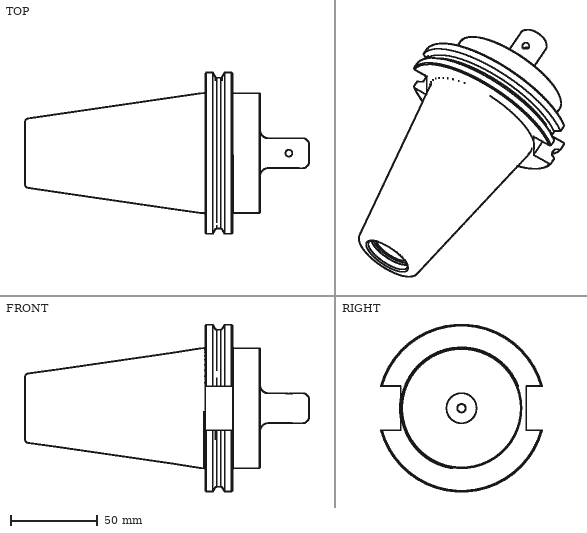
import cadquery as cq
import math

total_length = 165.1
gauge_x = 102.4
flange_start_x = 104.9
flange_end_x = 120.7
boss_end_x = 136.7

gauge_radius = 69.8 / 2
taper_ratio = 7 / 24
small_end_radius = gauge_radius - gauge_x * taper_ratio / 2
small_end_fillet = 2.1

flange_radius = 97.3 / 2
flange_edge_chamfer = 0.7
groove_floor_radius = 45.7
groove_floor_width = 3.5
groove_center_x = 112.6
groove_wall_angle = 30.0
groove_floor_fillet = 1.0
neck_fillet = 1.0
boss_root_fillet = 0.5
boss_edge_chamfer = 0.5

slot_width = 25.6
slot_floor_plus_y = 37.6
slot_floor_minus_y = 35.3

pin_radius = 17.5 / 2
pin_root_fillet = 4.6
pin_tip_chamfer = 2.3
pin_tip_blend = 2.0

thread_radius = 26.3 / 2
thread_relief_radius = 26.7 / 2
thread_mouth_radius = 28.7 / 2
thread_relief_depth = 4.3
thread_depth = 5.6
drill_radius = 22.0 / 2
drill_depth = 44.5
drill_tip_angle = 118.0
feed_radius = 8.0 / 2
feed_depth = 74.3
through_radius = 4.8 / 2
cross_hole_radius = 4.0 / 2
cross_hole_x = 153.4


def cylinder(radius, start_x, end_x):
    """Cylinder on the tool axis between two X positions."""
    return cq.Workplane("YZ", origin=(start_x, 0, 0)).circle(radius).extrude(end_x - start_x)


def revolve(points):
    """Solid of revolution about X from (x, radius) points."""
    return cq.Workplane("XY").polyline(points).close().revolve(360, (0, 0, 0), (1, 0, 0))


def make_shank():
    taper = revolve([
        (0, 0),
        (0, small_end_radius),
        (gauge_x, gauge_radius),
        (gauge_x, 0),
    ])
    return taper.faces("<X").edges().fillet(small_end_fillet)


def make_flange():
    disc = cylinder(flange_radius, flange_start_x, flange_end_x)
    disc = disc.edges().chamfer(flange_edge_chamfer)
    wall_run = (flange_radius - groove_floor_radius) * math.tan(math.radians(groove_wall_angle))
    half_floor = groove_floor_width / 2
    half_mouth = half_floor + wall_run
    groove = (
        cq.Workplane("XY")
        .moveTo(groove_center_x - half_floor, groove_floor_radius)
        .lineTo(groove_center_x + half_floor, groove_floor_radius)
        .lineTo(groove_center_x + half_mouth, flange_radius)
        .lineTo(groove_center_x - half_mouth, flange_radius)
        .close()
        .revolve(360, (0, 0, 0), (1, 0, 0))
    )
    groove = groove.edges(cq.selectors.RadiusNthSelector(0)).fillet(groove_floor_fillet)
    return disc.cut(groove)


def fillet_ring(face_x, radius, size, direction):
    """Concave fillet between a flat face and a cylinder leaving it along direction (+1 or -1)."""
    diagonal = size * (1 - math.sqrt(0.5))
    return (
        cq.Workplane("XY")
        .moveTo(face_x, 0)
        .lineTo(face_x, radius + size)
        .threePointArc(
            (face_x + direction * diagonal, radius + diagonal),
            (face_x + direction * size, radius),
        )
        .lineTo(face_x + direction * size, 0)
        .close()
        .revolve(360, (0, 0, 0), (1, 0, 0))
    )


def make_slot(floor_y, side):
    """Cutter for a driving slot; side is +1 or -1 along Y."""
    depth = flange_radius - floor_y
    length = flange_end_x - flange_start_x
    block = cq.Workplane("XY").box(length, depth, slot_width)
    return block.translate((flange_start_x + length / 2, side * (floor_y + depth / 2), 0))


def make_pin():
    pin = cylinder(pin_radius, boss_end_x, total_length)
    pin = pin.faces(">X").edges().chamfer(pin_tip_chamfer)
    tip_cone = pin.faces("%CONE")
    return tip_cone.edges("%CIRCLE").fillet(pin_tip_blend)


def make_axial_bore():
    drill_tip_length = (drill_radius - feed_radius) / math.tan(math.radians(drill_tip_angle / 2))
    mouth_chamfer = thread_mouth_radius - thread_relief_radius
    return revolve([
        (0, 0),
        (0, thread_mouth_radius),
        (mouth_chamfer, thread_relief_radius),
        (thread_relief_depth, thread_relief_radius),
        (thread_relief_depth, thread_radius),
        (thread_depth, thread_radius),
        (thread_depth, drill_radius),
        (drill_depth, drill_radius),
        (drill_depth + drill_tip_length, feed_radius),
        (feed_depth, feed_radius),
        (feed_depth, through_radius),
        (total_length, through_radius),
        (total_length, 0),
    ])


boss = cylinder(gauge_radius, gauge_x, boss_end_x).faces(">X").edges().chamfer(boss_edge_chamfer)
cross_hole = cq.Workplane("XY").center(cross_hole_x, 0).circle(cross_hole_radius).extrude(pin_radius)

result = (
    make_flange()
    .union(fillet_ring(flange_start_x, gauge_radius, neck_fillet, -1))
    .union(fillet_ring(flange_end_x, gauge_radius, boss_root_fillet, 1))
    .cut(make_slot(slot_floor_plus_y, 1))
    .cut(make_slot(slot_floor_minus_y, -1))
    .union(boss)
    .union(make_shank())
    .union(make_pin())
    .union(fillet_ring(boss_end_x, pin_radius, pin_root_fillet, 1))
    .cut(make_axial_bore())
    .cut(cross_hole)
)